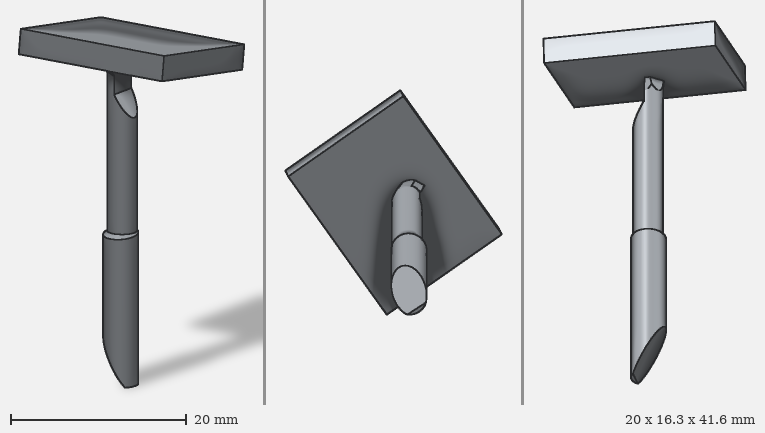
import cadquery as cq
import math

TOTAL_HEIGHT = 41.55

PLATE_WIDTH = 20.0
PLATE_LENGTH = 16.0
PLATE_THICKNESS = 2.95
PLATE_TILT = 8.0
PLATE_BACK_Y = 10.25

GRIP_DIAMETER = 4.05
GRIP_RADIUS = GRIP_DIAMETER / 2
GRIP_HEIGHT = 18.0
SHAFT_DIAMETER = 3.45
SHAFT_RADIUS = SHAFT_DIAMETER / 2
SHAFT_Y = GRIP_RADIUS - SHAFT_RADIUS
SHOULDER_ANGLE = 40.0
BEVEL_ANGLE = 60.0
TIP_LAND_X = 1.55

FLAT_X = 0.1
FLAT_BOTTOM = 34.45
NECK_BOTTOM = 36.72
NECK_LEAN = 22.0
NECK_FACET_REACH = 1.1
NECK_OVERHANG = 0.12
SIDE_CUT_BOTTOM = 35.95
SIDE_CUT_LEAN = 17.0
SIDE_CUT_HEADING = 144.0
BACK_CUT_BOTTOM = 35.72
BACK_CUT_LEAN = 11.5
BACK_HEADING = 90.0

CUT_SIZE = 3 * TOTAL_HEIGHT


def plate_corners():
    """Corners of the plate outline in (Y, Z), starting at the back top corner."""
    tilt = math.radians(PLATE_TILT)
    rise = PLATE_LENGTH * math.sin(tilt)
    run = PLATE_LENGTH * math.cos(tilt)
    down = PLATE_THICKNESS * math.cos(tilt)
    forward = PLATE_THICKNESS * math.sin(tilt)
    back_top = (PLATE_BACK_Y, TOTAL_HEIGHT - rise)
    front_top = (PLATE_BACK_Y - run, TOTAL_HEIGHT)
    front_bottom = (front_top[0] - forward, front_top[1] - down)
    back_bottom = (back_top[0] - forward, back_top[1] - down)
    return [back_top, front_top, front_bottom, back_bottom]


def make_plate():
    outline = cq.Workplane("YZ").polyline(plate_corners()).close()
    return outline.extrude(PLATE_WIDTH / 2, both=True)


def make_grip():
    """Lower cylinder with a conical shoulder around the shaft and a bevelled tip."""
    grip = cq.Workplane("XY").circle(GRIP_RADIUS).extrude(GRIP_HEIGHT)

    cone_radius = SHAFT_RADIUS + GRIP_HEIGHT / math.tan(math.radians(SHOULDER_ANGLE))
    shoulder_cone = (
        cq.Workplane("XZ")
        .polyline([(0, 0), (cone_radius, 0), (SHAFT_RADIUS, GRIP_HEIGHT), (0, GRIP_HEIGHT)])
        .close()
        .revolve(360, (0, 0, 0), (0, 1, 0))
        .translate((0, SHAFT_Y, 0))
    )

    bevel_top = (TIP_LAND_X + GRIP_RADIUS) * math.tan(math.radians(BEVEL_ANGLE))
    tip_bevel = (
        cq.Workplane("XZ")
        .polyline([(-GRIP_RADIUS, 0), (TIP_LAND_X, 0), (-GRIP_RADIUS, bevel_top)])
        .close()
        .extrude(GRIP_RADIUS, both=True)
    )
    return grip.intersect(shoulder_cone).cut(tip_bevel)


def make_leaning_cut(heading, lean, bottom):
    """Block whose face leaves the shaft surface at `bottom` and leans inward going up."""
    block = cq.Workplane("XY").box(CUT_SIZE, CUT_SIZE, CUT_SIZE, centered=(False, True, True))
    return (
        block.rotate((0, 0, 0), (0, 1, 0), -lean)
        .translate((SHAFT_RADIUS, 0, bottom))
        .rotate((0, 0, 0), (0, 0, 1), heading)
        .translate((0, SHAFT_Y, 0))
    )


def make_shaft():
    """Upper cylinder with two leaning cuts at its end."""
    shaft = (
        cq.Workplane("XY", origin=(0, SHAFT_Y, GRIP_HEIGHT))
        .circle(SHAFT_RADIUS)
        .extrude(TOTAL_HEIGHT - GRIP_HEIGHT)
    )
    shaft = shaft.cut(make_leaning_cut(SIDE_CUT_HEADING, SIDE_CUT_LEAN, SIDE_CUT_BOTTOM))
    return shaft.cut(make_leaning_cut(BACK_HEADING, BACK_CUT_LEAN, BACK_CUT_BOTTOM))


def make_neck():
    """Leaning neck that widens the front of the shaft where it meets the plate."""
    height = TOTAL_HEIGHT - NECK_BOTTOM
    offset = height * math.tan(math.radians(NECK_LEAN))
    front_y = SHAFT_Y - SHAFT_RADIUS - NECK_OVERHANG
    facet_y = SHAFT_Y - math.sqrt(SHAFT_RADIUS**2 - NECK_FACET_REACH**2)

    def section(workplane, y_shift):
        return (
            workplane.moveTo(-SHAFT_RADIUS, SHAFT_Y - y_shift)
            .radiusArc((-NECK_FACET_REACH, facet_y - y_shift), -SHAFT_RADIUS)
            .lineTo(FLAT_X, front_y - y_shift)
            .lineTo(FLAT_X, SHAFT_Y - y_shift)
            .close()
        )

    lower = section(cq.Workplane("XY").workplane(offset=NECK_BOTTOM), 0)
    return section(lower.workplane(offset=height), offset).loft(ruled=True)


def make_top_flat():
    """Space removed beside the upper flat, with a sloped run-out below it."""
    run_out = (GRIP_RADIUS - FLAT_X) * math.tan(math.radians(BEVEL_ANGLE))
    outline = [
        (FLAT_X, TOTAL_HEIGHT),
        (FLAT_X, FLAT_BOTTOM),
        (GRIP_RADIUS, FLAT_BOTTOM - run_out),
        (GRIP_RADIUS, TOTAL_HEIGHT),
    ]
    return cq.Workplane("XZ").polyline(outline).close().extrude(2 * GRIP_RADIUS, both=True)


def make_space_above_underside():
    """Everything above the plane of the plate's underside."""
    front_y, front_z = plate_corners()[2]
    return (
        cq.Workplane("XY")
        .box(CUT_SIZE, CUT_SIZE, CUT_SIZE, centered=(True, True, False))
        .rotate((0, 0, 0), (1, 0, 0), -PLATE_TILT)
        .translate((0, front_y, front_z))
    )


def make_stylus():
    stylus = make_grip().union(make_shaft()).union(make_neck())
    return stylus.cut(make_top_flat()).cut(make_space_above_underside())


plate = make_plate()
stylus = make_stylus()
result = cq.Compound.makeCompound([plate.val(), *stylus.solids().vals()])